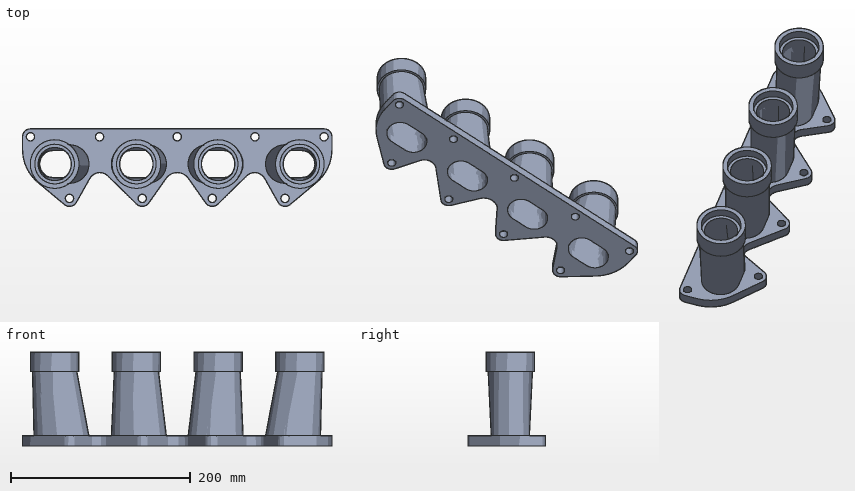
import cadquery as cq
import math

length = 345.0
half_length = length / 2
plate_thickness = 11.7
back_edge_y = 39.3
bolt_diameter = 9.0
bolt_margin = 9.0
back_bolt_y = back_edge_y - bolt_margin
back_bolt_x = [0, 86.5, half_length - bolt_margin]
lug_x = [39.0, 120.0]
lug_y = -38.3

end_radius = 48.0
end_center_y = 16.2
valley_top_y = -9.5
valley_x = 86.2
valley_radius = 12.8
center_valley_radius = 15.2

port_x = [42.8, 129.0]
collar_x = [45.5, 136.5]
port_length = 61.5
port_width = 42.8
bore_diameter = 37.0
runner_top_diameter = 49.7
bore_wall = (runner_top_diameter - bore_diameter) / 2
collar_diameter = 54.0
collar_height = 21.7
total_height = 105.0
collar_base_z = total_height - collar_height
socket_diameter = 44.0
socket_depth = 10.0


def point_on(circle, angle):
    x, y, radius, _ = circle
    return (x + radius * math.cos(angle), y + radius * math.sin(angle))


def departure_angle(first, second):
    """Direction of the line leaving first and touching second.

    Circles are (x, y, radius, turn); turn is 1 for a convex arc followed
    counterclockwise and -1 for a concave arc followed clockwise.
    """
    dx = second[0] - first[0]
    dy = second[1] - first[1]
    signed_gap = first[2] * first[3] - second[2] * second[3]
    return math.atan2(dy, dx) + math.asin(signed_gap / math.hypot(dx, dy))


def tangent_point(circle, heading):
    """Point where a path with this heading touches the circle."""
    return point_on(circle, heading - circle[3] * math.pi / 2)


def make_plate():
    end_x = half_length - end_radius
    side_valley_y = valley_top_y - valley_radius
    center_valley_y = valley_top_y - center_valley_radius
    circles = [
        (-end_x, end_center_y, end_radius, 1),
        (-lug_x[1], lug_y, bolt_margin, 1),
        (-valley_x, side_valley_y, valley_radius, -1),
        (-lug_x[0], lug_y, bolt_margin, 1),
        (0, center_valley_y, center_valley_radius, -1),
        (lug_x[0], lug_y, bolt_margin, 1),
        (valley_x, side_valley_y, valley_radius, -1),
        (lug_x[1], lug_y, bolt_margin, 1),
        (end_x, end_center_y, end_radius, 1),
    ]
    headings = [-math.pi / 2]
    headings += [departure_angle(a, b) for a, b in zip(circles, circles[1:])]
    headings.append(math.pi / 2)

    outline = cq.Workplane("XY").moveTo(-half_length, back_edge_y)
    for circle, arriving, leaving in zip(circles, headings, headings[1:]):
        outline = outline.lineTo(*tangent_point(circle, arriving))
        middle = tangent_point(circle, (arriving + leaving) / 2)
        outline = outline.threePointArc(middle, tangent_point(circle, leaving))
    outline = outline.lineTo(half_length, back_edge_y).close()
    plate = outline.extrude(plate_thickness)
    return plate.edges("|Z and >Y").fillet(bolt_margin)


def bolt_holes():
    centers = set()
    for side in (-1, 1):
        centers.update((side * x, back_bolt_y) for x in back_bolt_x)
        centers.update((side * x, lug_y) for x in lug_x)
    holes = cq.Workplane("XY").pushPoints(sorted(centers))
    return holes.circle(bolt_diameter / 2).extrude(plate_thickness)


def slot_to_circle(slot_x, circle_x, slot_length, slot_width, diameter):
    """Loft from a slot on top of the plate to a circle under the collar."""
    return (
        cq.Workplane("XY", origin=(0, 0, plate_thickness))
        .center(slot_x, 0)
        .slot2D(slot_length, slot_width)
        .workplane(offset=collar_base_z - plate_thickness)
        .center(circle_x - slot_x, 0)
        .circle(diameter / 2)
        .loft(combine=True)
    )


def cylinder(x, base_z, height, diameter):
    base = cq.Workplane("XY", origin=(x, 0, base_z))
    return base.circle(diameter / 2).extrude(height)


def make_runner(bottom_x, top_x):
    body = slot_to_circle(bottom_x, top_x, port_length, port_width, runner_top_diameter)
    return body.union(cylinder(top_x, collar_base_z, collar_height, collar_diameter))


def make_passage(bottom_x, top_x):
    inner_length = port_length - 2 * bore_wall
    inner_width = port_width - 2 * bore_wall
    port = cq.Workplane("XY").center(bottom_x, 0).slot2D(inner_length, inner_width)
    passage = port.extrude(plate_thickness)
    passage = passage.union(slot_to_circle(bottom_x, top_x, inner_length, inner_width, bore_diameter))
    passage = passage.union(cylinder(top_x, collar_base_z, collar_height, bore_diameter))
    socket = cylinder(top_x, total_height - socket_depth, socket_depth, socket_diameter)
    return passage.union(socket)


result = make_plate().cut(bolt_holes())
for bottom_x, top_x in zip(port_x, collar_x):
    for side in (-1, 1):
        result = result.union(make_runner(side * bottom_x, side * top_x))
        result = result.cut(make_passage(side * bottom_x, side * top_x))